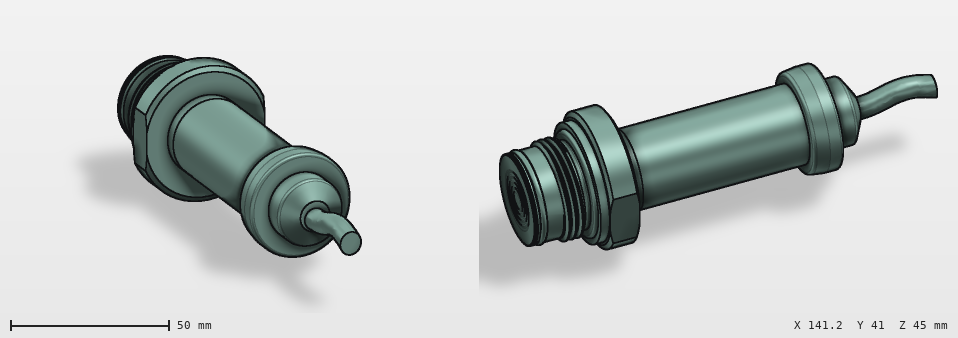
import cadquery as cq
import math

TOTAL_LENGTH = 141.2

face_radius = 14.7
face_chamfer_length = 0.1
wave_count = 4
wave_pitch = 1.8
wave_inner_radius = 2.7
trough_width = 1.3
crest_width = wave_pitch - trough_width
wave_sag_ratio = 0.17

spigot_radius = 30.1 / 2
weld_groove_start = 0.4
weld_groove_width = 0.7
weld_groove_depth = 0.3
o_ring_section = 2.0
o_ring_outer_radius = 15.5
o_ring_center_radius = o_ring_outer_radius - o_ring_section / 2
o_ring_floor_radius = o_ring_outer_radius - o_ring_section
o_ring_groove_start = 2.0
o_ring_groove_end = 4.4
o_ring_center_x = o_ring_groove_end - o_ring_section / 2

thread_start = 9.9
thread_end = 17.2
thread_crest_radius = 16.5
thread_pitch = 2.3
thread_crest_width = 0.4
thread_root_width = 1.8
thread_crest_x = 13.0
turns_before_crest = 2
thread_turns = 4
thread_embed = 0.4
thread_clearance = 0.3
thread_run_in = 1.1

undercut_radius = 14.7
undercut_start = 18.5
seal_start = 19.2
seal_end = 20.5
seal_radius = 17.8
seal_corner_radius = 1.2

collar_radius = 19.9
flange_start = 23.5
flange_end = 33.5
flange_radius = 45.0 / 2
flange_chamfer_length = 1.0
flange_chamfer_depth = 1.7
across_flats = 41.0

tube_radius = 26.5 / 2
neck_end = 37.5

cap_start = 94.0
cap_taper_end = 99.3
cap_end = 104.1
cap_radius = 17.4
cap_front_radius = 16.7
cap_front_fillet = 1.1
cap_rear_fillet = 1.0

gland_radius = 22.5 / 2
gland_cone_start = 111.0
gland_end = 114.7
gland_tip_radius = 5.1
gland_fillet = 1.1

cable_diameter = 7.2
cable_start_z = -0.8
cable_peak_x = 131.6
cable_peak_z = 2.3
cable_end_z = -0.1
cable_end_slope = -0.35
cable_overrun = 2.1


def revolve_about_x(outline):
    """Solid of revolution about X from a closed (x, radius) outline."""
    return outline.close().revolve(360, (0, 0, 0), (1, 0, 0))


def corrugated_face(outline):
    """Continue an outline outward from the axis over the rounded, tangent corrugations."""
    half_crest = crest_width / 2
    crest_sag = wave_sag_ratio * crest_width
    trough_sag = wave_sag_ratio * trough_width
    crest_arc_radius = half_crest**2 / (2 * crest_sag) + crest_sag / 2
    quarter_angle = math.asin(half_crest / crest_arc_radius) / 2
    mid_sag = crest_arc_radius * (1 - math.cos(quarter_angle))
    mid_offset = crest_arc_radius * math.sin(quarter_angle)

    outline = outline.lineTo(0, wave_inner_radius)
    for index in range(wave_count):
        crest = wave_inner_radius + index * wave_pitch
        next_crest = crest + wave_pitch
        outline = (
            outline.threePointArc((mid_sag, crest + mid_offset), (crest_sag, crest + half_crest))
            .threePointArc(
                (crest_sag + trough_sag, crest + wave_pitch / 2),
                (crest_sag, next_crest - half_crest),
            )
            .threePointArc((mid_sag, next_crest - mid_offset), (0, next_crest))
        )
    return outline


def fitting_core():
    """Process fitting without its thread ridge."""
    run_out_length = undercut_start - thread_end
    run_out_depth = spigot_radius - undercut_radius
    run_out_radius = (run_out_length**2 + run_out_depth**2) / (2 * run_out_depth)
    outline = corrugated_face(cq.Workplane("XY").moveTo(0, 0))
    outline = (
        outline.lineTo(0, face_radius)
        .lineTo(face_chamfer_length, spigot_radius)
        .lineTo(weld_groove_start, spigot_radius)
        .lineTo(weld_groove_start + weld_groove_width / 2, spigot_radius - weld_groove_depth)
        .lineTo(weld_groove_start + weld_groove_width, spigot_radius)
        .lineTo(o_ring_groove_start, spigot_radius)
        .lineTo(o_ring_groove_start, o_ring_floor_radius)
        .lineTo(o_ring_groove_end, o_ring_floor_radius)
        .lineTo(o_ring_groove_end, spigot_radius)
        .lineTo(thread_end, spigot_radius)
        .radiusArc((undercut_start, undercut_radius), -run_out_radius)
        .lineTo(seal_end, undercut_radius)
        .lineTo(seal_end, collar_radius)
        .lineTo(flange_start, collar_radius)
        .lineTo(flange_start, flange_radius - flange_chamfer_depth)
        .lineTo(flange_start + flange_chamfer_length, flange_radius)
        .lineTo(flange_end - flange_chamfer_length, flange_radius)
        .lineTo(flange_end, flange_radius - flange_chamfer_depth)
        .lineTo(flange_end, tube_radius)
        .lineTo(neck_end, tube_radius)
        .lineTo(neck_end, 0)
    )
    core = revolve_about_x(outline)
    flats = cq.Workplane("XY").box(
        neck_end, across_flats, 2 * flange_radius, centered=(False, True, True)
    )
    return core.intersect(flats)


def thread_ridge():
    """Helical ridge, trimmed to a cylinder with a chamfer at each end."""
    helix_start = thread_crest_x - turns_before_crest * thread_pitch
    helix_length = thread_turns * thread_pitch
    inner_radius = spigot_radius - thread_embed
    root_half_width = thread_root_width / 2
    crest_half_width = thread_crest_width / 2
    flank_slope = (root_half_width - crest_half_width) / (thread_crest_radius - spigot_radius)
    inner_half_width = root_half_width + thread_embed * flank_slope

    path = cq.Wire.makeHelix(thread_pitch, helix_length, inner_radius)
    ridge = (
        cq.Workplane("XZ")
        .polyline(
            [
                (inner_radius, -inner_half_width),
                (thread_crest_radius, -crest_half_width),
                (thread_crest_radius, crest_half_width),
                (inner_radius, inner_half_width),
            ]
        )
        .close()
        .sweep(cq.Workplane(obj=path), isFrenet=True)
        .rotate((0, 0, 0), (0, 1, 0), 90)
        .rotate((0, 0, 0), (1, 0, 0), 180)
        .translate((helix_start, 0, 0))
    )
    envelope_radius = thread_crest_radius + thread_clearance
    envelope = revolve_about_x(
        cq.Workplane("XY")
        .moveTo(thread_start, 0)
        .lineTo(thread_start, spigot_radius)
        .lineTo(thread_start + thread_run_in, envelope_radius)
        .lineTo(thread_end - thread_run_in, envelope_radius)
        .lineTo(thread_end, spigot_radius)
        .lineTo(thread_end, 0)
    )
    return ridge.intersect(envelope)


def make_fitting():
    return fitting_core().union(thread_ridge())


def make_o_ring():
    section = cq.Workplane("XY").center(o_ring_center_x, o_ring_center_radius).circle(o_ring_section / 2)
    axis_y = -o_ring_center_radius
    return section.revolve(360, (0, axis_y, 0), (1, axis_y, 0))


def make_seal_ring():
    """Flat ring around the undercut with a rounded front corner."""
    ring = (
        cq.Workplane("YZ", origin=(seal_start, 0, 0))
        .circle(seal_radius)
        .circle(undercut_radius)
        .extrude(seal_end - seal_start)
    )
    return ring.faces("<X").edges(cq.selectors.RadiusNthSelector(-1)).fillet(seal_corner_radius)


def make_tube():
    return cq.Workplane("YZ", origin=(neck_end, 0, 0)).circle(tube_radius).extrude(cap_start - neck_end)


def make_cap():
    """Cap with a slightly tapered front half and rounded rims."""
    cap = revolve_about_x(
        cq.Workplane("XY")
        .moveTo(cap_start, 0)
        .lineTo(cap_start, cap_front_radius)
        .lineTo(cap_taper_end, cap_radius)
        .lineTo(cap_end, cap_radius)
        .lineTo(cap_end, 0)
    )
    return cap.faces("<X").edges().fillet(cap_front_fillet).faces(">X").edges().fillet(cap_rear_fillet)


def make_gland():
    """Cylinder with a conical tip and a rounded shoulder between them."""
    gland = revolve_about_x(
        cq.Workplane("XY")
        .moveTo(cap_end, 0)
        .lineTo(cap_end, gland_radius)
        .lineTo(gland_cone_start, gland_radius)
        .lineTo(gland_end, gland_tip_radius)
        .lineTo(gland_end, 0)
    )
    shoulder = gland.edges("%CIRCLE exc (>X or <X)")
    return shoulder.fillet(gland_fillet)


def make_cable():
    """Round cable following an S-shaped curve in the XZ plane, cut square at its end."""
    overrun_x = TOTAL_LENGTH + cable_overrun
    overrun_z = cable_end_z + cable_end_slope * cable_overrun
    path = cq.Workplane("XZ").spline(
        [(gland_end, cable_start_z), (cable_peak_x, cable_peak_z), (overrun_x, overrun_z)],
        tangents=[(1, 0), (1, 0), (1, cable_end_slope)],
    )
    cable = (
        cq.Workplane("YZ", origin=(gland_end, 0, cable_start_z)).circle(cable_diameter / 2).sweep(path)
    )
    return cable.cut(
        cq.Workplane("YZ", origin=(TOTAL_LENGTH, 0, 0)).circle(cable_diameter).extrude(2 * cable_overrun)
    )


fitting = make_fitting()
o_ring = make_o_ring()
seal_ring = make_seal_ring()
tube = make_tube()
cap = make_cap()
gland = make_gland()
cable = make_cable()

result = cq.Compound.makeCompound(
    [
        fitting.val(),
        o_ring.val(),
        seal_ring.val(),
        tube.val(),
        cap.val(),
        gland.val(),
        cable.val(),
    ]
)